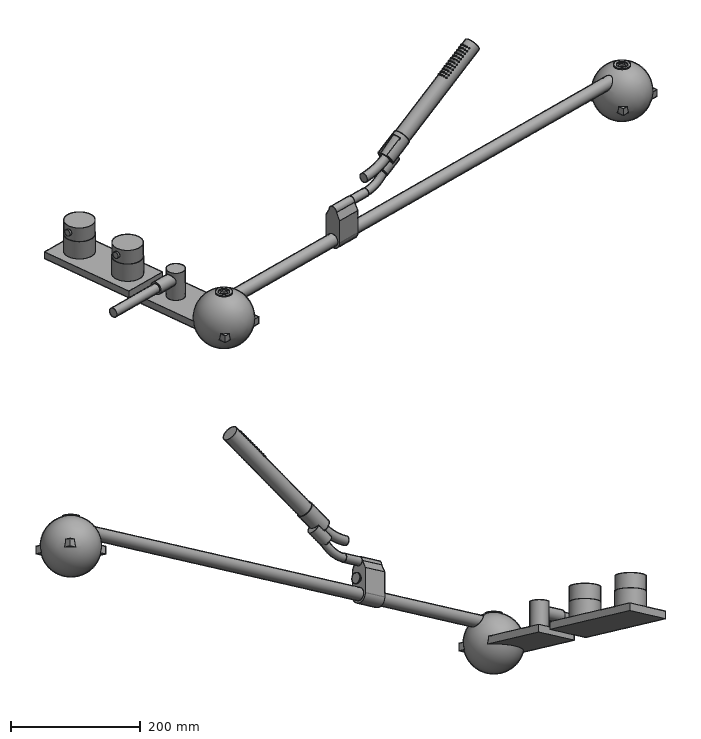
import cadquery as cq
import math


column_span = 300.0
column_pitch = column_span / 3
plate_margin = 38.0
plate_depth = 77.0
plate_thickness = 12.0
valve_columns = (-3 * column_pitch, -2 * column_pitch)
outlet_column = -column_pitch

knob_base_diameter = 50.0
knob_base_height = 31.0
knob_cap_diameter = 49.0
knob_height = 55.0
marker_diameter = 11.0
marker_projection = 3.0
marker_height = 44.0

post_diameter = 30.0
post_height = 49.0
spout_height = 33.0
socket_diameter = 21.0
socket_reach = 45.0
tube_diameter = 15.0
tube_reach = 144.0

ball_diameter = 95.0
rail_length = 915.0
rail_diameter = 21.0
rail_height = 29.0
boss_diameter = 27.0
boss_top_height = ball_diameter / 2
recess_diameter = 18.0
recess_depth = 2.0
recess_floor_height = boss_top_height - recess_depth
screw_hole_diameter = 11.0
screw_hole_depth = 4.0

slider_center_y = 271.0
slider_length = 42.0
slider_width = 29.0
slider_shoulder_height = 69.0
arm_height = 81.0
slider_top_radius = 8.0
rod_diameter = 14.0
rod_end_y = 325.0
arm_diameter = 13.0
arm_end_y = 368.0
arm_end_height = 101.0
button_height = 53.0
button_stem_diameter = 11.0
button_diameter = 18.0
button_stem_length = 4.0
button_head_thickness = 2.0

shower_tilt_degrees = 30
shower_tilt = math.radians(shower_tilt_degrees)
tip_y = 571.0
tip_height = 237.0
shower_diameter = 27.0
shower_length = 187.0
cone_end_diameter = 21.0
cone_end_station = 230.0
hose_diameter = 15.0
hose_end_y = 321.0
hose_end_height = 108.0
spray_start = 10.0
spray_length = 65.0
nozzle_diameter = 2.0
nozzle_projection = 1.0
nozzle_rows = 12
nozzle_angles = (-36, -18, 0, 18, 36)

cradle_diameter = 29.0
cradle_collar_length = 8.0
cradle_slot_width = 15.0
lug_diameter = 21.0
lug_offset = 13.0
lug_start = 216.0
lug_end = 248.0


def cylinder_z(x, y, bottom, top, diameter):
    return cq.Workplane("XY", origin=(x, y, bottom)).circle(diameter / 2).extrude(top - bottom)


def cylinder_y(x, z, start, end, diameter):
    plane = cq.Plane(origin=(x, start, z), xDir=(1, 0, 0), normal=(0, 1, 0))
    return cq.Workplane(plane).circle(diameter / 2).extrude(end - start)


def plate(x_start, x_end, y):
    base = cq.Workplane("XY", origin=((x_start + x_end) / 2, y, -plate_thickness))
    return base.rect(x_end - x_start, plate_depth).extrude(plate_thickness)


def shower_plane(station):
    """Plane across the shower axis; its Y axis points out of the spray face."""
    along_y = -math.cos(shower_tilt)
    along_z = -math.sin(shower_tilt)
    origin = (0, tip_y + station * along_y, tip_height + station * along_z)
    return cq.Plane(origin=origin, xDir=(1, 0, 0), normal=(0, along_y, along_z))


def knob(x):
    base = cylinder_z(x, 0, 0, knob_base_height, knob_base_diameter)
    cap = cylinder_z(x, 0, knob_base_height, knob_height, knob_cap_diameter)
    marker_tip = -(knob_cap_diameter / 2 + marker_projection)
    marker = cylinder_y(x, marker_height, marker_tip, 0, marker_diameter)
    return base.union(cap).union(marker)


def make_valve_unit():
    unit = plate(valve_columns[0] - plate_margin, valve_columns[1] + plate_margin, 0)
    for x in valve_columns:
        unit = unit.union(knob(x))
    return unit


def make_rail():
    return cylinder_y(0, rail_height, 0, rail_length, rail_diameter)


def ball_mount(y, plate_start):
    ball = cq.Workplane("XY", origin=(0, y, 0)).sphere(ball_diameter / 2)
    mount = ball.union(plate(plate_start, plate_margin, y))
    boss = cylinder_z(0, y, 0, boss_top_height, boss_diameter)
    recess = cylinder_z(0, y, recess_floor_height, boss_top_height, recess_diameter)
    hole_bottom = recess_floor_height - screw_hole_depth
    screw_hole = cylinder_z(0, y, hole_bottom, recess_floor_height, screw_hole_diameter)
    return mount.union(boss).cut(recess).cut(screw_hole).cut(make_rail())


def outlet():
    post = cylinder_z(outlet_column, 0, 0, post_height, post_diameter)
    socket = cylinder_y(outlet_column, spout_height, -socket_reach, 0, socket_diameter)
    tube = cylinder_y(outlet_column, spout_height, -tube_reach, 0, tube_diameter)
    return post.union(socket).union(tube)


def make_lower_mount():
    return ball_mount(0, outlet_column - plate_margin).union(outlet())


def make_upper_mount():
    return ball_mount(rail_length, -plate_margin)


def nozzle(station, angle):
    """Pin standing radially on the shower body; angle 0 points straight out of the spray face."""
    plane = shower_plane(station).rotated((0, 0, angle))
    radial_plane = cq.Plane(origin=plane.origin, xDir=plane.xDir, normal=plane.yDir)
    pin = cq.Workplane(radial_plane).circle(nozzle_diameter / 2)
    return pin.extrude(shower_diameter / 2 + nozzle_projection)


def spray_nozzles():
    row_pitch = spray_length / nozzle_rows
    pins = []
    for row in range(nozzle_rows):
        station = spray_start + (row + 0.5) * row_pitch
        for angle in nozzle_angles:
            pins.append(nozzle(station, angle))
    return pins


def make_shower():
    body = cq.Workplane(shower_plane(0)).circle(shower_diameter / 2).extrude(shower_length)
    cone = (
        cq.Workplane(shower_plane(shower_length))
        .circle(shower_diameter / 2)
        .workplane(offset=cone_end_station - shower_length)
        .circle(cone_end_diameter / 2)
        .loft()
    )
    hose_plane = shower_plane(cone_end_station)
    hose_end = cq.Vector(0, hose_end_y, hose_end_height)
    path = cq.Workplane(cq.Edge.makeTangentArc(hose_plane.origin, hose_plane.zDir, hose_end))
    hose = cq.Workplane(hose_plane).circle(hose_diameter / 2).sweep(path)
    shower = body.union(cone).union(hose)
    for pin in spray_nozzles():
        shower = shower.union(pin)
    return shower


def clamp():
    half_width = slider_width / 2
    plane = cq.Plane(
        origin=(0, slider_center_y - slider_length / 2, 0), xDir=(-1, 0, 0), normal=(0, 1, 0)
    )
    return (
        cq.Workplane(plane)
        .moveTo(-half_width, rail_height)
        .threePointArc((0, rail_height - half_width), (half_width, rail_height))
        .lineTo(half_width, slider_shoulder_height)
        .lineTo(slider_top_radius, arm_height)
        .threePointArc((0, arm_height + slider_top_radius), (-slider_top_radius, arm_height))
        .lineTo(-half_width, slider_shoulder_height)
        .close()
        .extrude(slider_length)
    )


def button():
    start = slider_center_y + slider_length / 2
    stem_end = start + button_stem_length
    stem = cylinder_y(0, button_height, start, stem_end, button_stem_diameter)
    head_end = stem_end + button_head_thickness
    return stem.union(cylinder_y(0, button_height, stem_end, head_end, button_diameter))


def arm():
    rod = cylinder_y(0, arm_height, slider_center_y, rod_end_y, rod_diameter)
    bend_start = cq.Vector(0, rod_end_y, arm_height)
    bend_end = cq.Vector(0, arm_end_y, arm_end_height)
    path = cq.Workplane(cq.Edge.makeTangentArc(bend_start, cq.Vector(0, 1, 0), bend_end))
    plane = cq.Plane(origin=bend_start, xDir=(1, 0, 0), normal=(0, 1, 0))
    return rod.union(cq.Workplane(plane).circle(arm_diameter / 2).sweep(path))


def cradle():
    length = cone_end_station - shower_length
    sleeve = cq.Workplane(shower_plane(shower_length)).circle(cradle_diameter / 2).extrude(length)
    slot = (
        cq.Workplane(shower_plane(shower_length + cradle_collar_length))
        .center(0, cradle_diameter / 2)
        .rect(cradle_slot_width, cradle_diameter)
        .extrude(length)
    )
    lug = (
        cq.Workplane(shower_plane(lug_start))
        .center(0, -lug_offset)
        .circle(lug_diameter / 2)
        .extrude(lug_end - lug_start)
    )
    return sleeve.cut(slot).union(lug)


def make_slider(shower):
    slider = clamp().union(button()).union(arm()).union(cradle())
    return slider.cut(make_rail()).cut(shower)


valve_unit = make_valve_unit()
lower_mount = make_lower_mount()
upper_mount = make_upper_mount()
rail = make_rail()
shower = make_shower()
slider = make_slider(shower)

result = cq.Compound.makeCompound([
    valve_unit.val(),
    lower_mount.val(),
    upper_mount.val(),
    rail.val(),
    slider.val(),
    shower.val(),
])